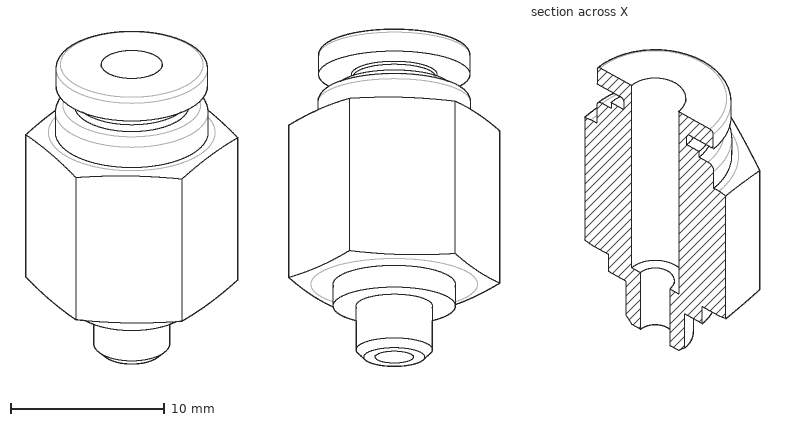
import cadquery as cq

total_height = 21
stem_top = 3.5
collar_top = 5.0
hex_top = 16.0
sleeve_top = 18.0
ring_top = 18.5
cap_bottom = 19.4

stem_diameter = 5.0
collar_diameter = 8.0
sleeve_diameter = 10.0
ring_diameter = 7.5
neck_diameter = 5.4
cap_diameter = 9.91

hex_across_corners = 13.85
hex_face_diameter = 10.9
hex_chamfer_height = 0.27

stem_chamfer_height = 0.5
stem_chamfer_width = 0.5
sleeve_fillet = 0.5
cap_fillet = 0.3
neck_flare_height = 0.17
neck_flare_width = 0.1

passage_diameter = 2.5
socket_diameter = 4
socket_floor = collar_top


def cylinder(diameter, bottom, top):
    return cq.Workplane("XY").workplane(offset=bottom).circle(diameter / 2).extrude(top - bottom)


def make_stem():
    radius = stem_diameter / 2
    profile = (
        cq.Workplane("XZ")
        .lineTo(radius - stem_chamfer_width, 0)
        .lineTo(radius, stem_chamfer_height)
        .lineTo(radius, stem_top)
        .lineTo(0, stem_top)
        .close()
    )
    return profile.revolve(360, (0, 0, 0), (0, 1, 0))


def make_hex():
    prism = (
        cq.Workplane("XY")
        .workplane(offset=collar_top)
        .polygon(6, hex_across_corners)
        .extrude(hex_top - collar_top)
    )
    envelope = (
        cq.Workplane("XZ")
        .moveTo(0, collar_top)
        .lineTo(hex_face_diameter / 2, collar_top)
        .lineTo(hex_across_corners / 2, collar_top + hex_chamfer_height)
        .lineTo(hex_across_corners / 2, hex_top - hex_chamfer_height)
        .lineTo(hex_face_diameter / 2, hex_top)
        .lineTo(0, hex_top)
        .close()
        .revolve(360, (0, 0, 0), (0, 1, 0))
    )
    return prism.intersect(envelope)


def make_neck():
    radius = neck_diameter / 2
    profile = (
        cq.Workplane("XZ")
        .moveTo(0, ring_top)
        .lineTo(radius, ring_top)
        .lineTo(radius, cap_bottom - neck_flare_height)
        .lineTo(radius + neck_flare_width, cap_bottom)
        .lineTo(0, cap_bottom)
        .close()
    )
    return profile.revolve(360, (0, 0, 0), (0, 1, 0))


def make_bore():
    passage = cylinder(passage_diameter, 0, total_height)
    socket = cylinder(socket_diameter, socket_floor, total_height)
    return passage.union(socket)


collar = cylinder(collar_diameter, stem_top, collar_top)
sleeve = cylinder(sleeve_diameter, hex_top, sleeve_top).faces(">Z").edges().fillet(sleeve_fillet)
ring = cylinder(ring_diameter, sleeve_top, ring_top)
cap = cylinder(cap_diameter, cap_bottom, total_height).faces(">Z").edges().fillet(cap_fillet)

result = make_stem()
for section in (collar, make_hex(), sleeve, ring, make_neck(), cap):
    result = result.union(section)
result = result.cut(make_bore())